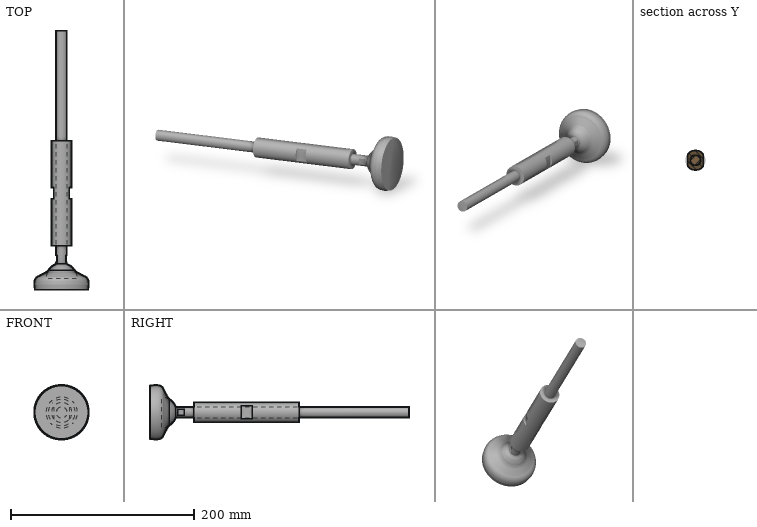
import cadquery as cq
import math

overall_length = 283.0

rod_radius = 12.0 / 2
rod_flat_start = 30.2
rod_flat_length = 7.5
rod_across_flats = 10.0
flare_height = 28.3
collar_height = 26.4
ball_radius = 17.0
ball_centre_height = 12.4

sleeve_radius = 22.0 / 2
sleeve_length = 115.0
rod_beyond_sleeve = 120.0
sleeve_end = overall_length - rod_beyond_sleeve
sleeve_start = sleeve_end - sleeve_length
sleeve_flat_length = 12.0
sleeve_flat_start = sleeve_start + (sleeve_length - sleeve_flat_length) / 2
sleeve_across_flats = 17.0

sole_radius = 29.2
rim_radius = 30.0
rim_height = 6.0
band_radius = 29.7
band_height = 8.9
shoulder_radius = 24.4
shoulder_height = 15.2
neck_radius = 16.4
neck_height = 19.5
lip_height = 21.2


def ball_radius_at(height):
    """Radius of the ball's cross-section at a height above the sole."""
    return math.sqrt(ball_radius**2 - (height - ball_centre_height) ** 2)


def ball_point(height):
    """Point on the ball's half section at a height above the sole."""
    return (ball_radius_at(height), height)


def spin(half_section):
    """Turn a closed half section in the XY plane about the Y axis."""
    return half_section.revolve(360, (0, 0, 0), (0, 1, 0))


def shaft(radius, start, end):
    """Round bar about the Y axis between two Y positions."""
    return cq.Workplane("XZ", origin=(0, start, 0)).circle(radius).extrude(start - end)


def cut_flats(body, radius, across_flats, start, length):
    """Mill two opposite wrench flats, facing -X and +X."""
    depth = radius - across_flats / 2
    for side in (-1, 1):
        cutter = cq.Workplane("XY").box(depth, length, 2 * radius)
        body = body.cut(cutter.translate((side * (across_flats + depth) / 2, start + length / 2, 0)))
    return body


def make_rod():
    middle_height = (ball_centre_height + collar_height) / 2
    half_section = (
        cq.Workplane("XY")
        .moveTo(0, ball_centre_height)
        .lineTo(ball_radius, ball_centre_height)
        .threePointArc(ball_point(middle_height), ball_point(collar_height))
        .lineTo(rod_radius, flare_height)
        .lineTo(rod_radius, overall_length)
        .lineTo(0, overall_length)
        .close()
    )
    return cut_flats(spin(half_section), rod_radius, rod_across_flats, rod_flat_start, rod_flat_length)


def make_sleeve():
    sleeve = shaft(sleeve_radius, sleeve_start, sleeve_end)
    sleeve = cut_flats(sleeve, sleeve_radius, sleeve_across_flats, sleeve_flat_start, sleeve_flat_length)
    return sleeve.cut(shaft(rod_radius, sleeve_start, sleeve_end))


def make_foot():
    middle_height = (ball_centre_height + lip_height) / 2
    half_section = (
        cq.Workplane("XY")
        .lineTo(sole_radius, 0)
        .lineTo(rim_radius, rim_height)
        .lineTo(band_radius, band_height)
        .tangentArcPoint((shoulder_radius, shoulder_height), relative=False)
        .lineTo(neck_radius, neck_height)
        .lineTo(*ball_point(lip_height))
        .threePointArc(ball_point(middle_height), (ball_radius, ball_centre_height))
        .lineTo(0, ball_centre_height)
        .close()
    )
    return spin(half_section)


rod = make_rod()
sleeve = make_sleeve()
foot = make_foot()

result = cq.Compound.makeCompound([rod.val(), sleeve.val(), foot.val()])